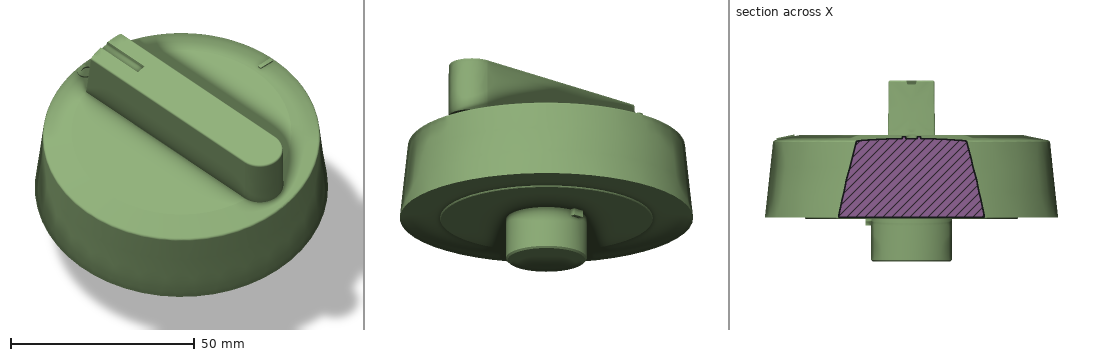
import cadquery as cq

TOTAL_HEIGHT = 49.4

SKIRT_BOTTOM_RADIUS = 40.0
SKIRT_TOP_RADIUS = 37.8
SKIRT_BOTTOM_Z = 12.0
RIM_FILLET = 0.6

FACE_Z = 34.6
FACE_RADIUS = 30.0
FACE_CONE_DROP = 1.6

SHAFT_RADIUS = 11.0
SHAFT_CHAMFER = 0.5

LIP_RADIUS = 29.0
LIP_HEIGHT = 0.4
LIP_CHAMFER = 0.2

KEY_REACH = 1.4
KEY_WIDTH = 3.2
KEY_BOTTOM_Z = 9.8

GRIP_WIDTH = 12.8
GRIP_END_X = 35.1
GRIP_STRAIGHT_END_X = 29.0
GRIP_DRAFT = 0.6
GRIP_TOP_BACK_RADIUS = 28.4
GRIP_FILLET = 0.5

SLOT_END_X = -14.7
SLOT_WIDTH = 2.8
SLOT_FLOOR_FILLET = 0.5
SLOT_DRAFT = 12.0
SLOT_DEPTH = 1.1

MARK_HEIGHT = 0.5
RING_CENTRE_X = -34.6
RING_OUTER_RADIUS = 2.6
RING_INNER_RADIUS = 1.4
TICK_INNER_Y = 31.8
TICK_OUTER_Y = 36.8
TICK_INNER_WIDTH = 1.0
TICK_OUTER_WIDTH = 1.2

RIM_Z = FACE_Z - FACE_CONE_DROP
GRIP_HEIGHT = TOTAL_HEIGHT - FACE_Z
LIP_BOTTOM_Z = SKIRT_BOTTOM_Z - LIP_HEIGHT


def revolve_about_z(profile):
    """Solid of revolution about Z from (radius, height) points."""
    return cq.Workplane("XZ").polyline(profile).close().revolve(360, (0, 0), (0, 1))


def make_body():
    """Tapered skirt with a flat face, a conical margin and a rounded rim."""
    profile = [
        (0, SKIRT_BOTTOM_Z),
        (SKIRT_BOTTOM_RADIUS, SKIRT_BOTTOM_Z),
        (SKIRT_TOP_RADIUS, RIM_Z),
        (FACE_RADIUS, FACE_Z),
        (0, FACE_Z),
    ]
    rim = cq.selectors.RadiusNthSelector(1)
    return revolve_about_z(profile).edges("%CIRCLE").edges(rim).fillet(RIM_FILLET)


def make_underside():
    """Shaft, its small key and the shallow lip under the skirt."""
    shaft = cq.Workplane("XY").circle(SHAFT_RADIUS).extrude(SKIRT_BOTTOM_Z)
    shaft = shaft.faces("<Z").chamfer(SHAFT_CHAMFER)
    lip = cq.Workplane("XY", origin=(0, 0, LIP_BOTTOM_Z)).circle(LIP_RADIUS).extrude(LIP_HEIGHT)
    lip = lip.faces("<Z").chamfer(LIP_CHAMFER)
    key = cq.Workplane("XY", origin=(0, 0, KEY_BOTTOM_Z)).box(
        KEY_WIDTH,
        SHAFT_RADIUS + KEY_REACH,
        SKIRT_BOTTOM_Z - KEY_BOTTOM_Z,
        centered=(True, False, False),
    )
    return shaft.union(lip).union(key)


def make_grip():
    """Upright finger grip, rounded at +X and cut by a cone at -X."""
    half_width = GRIP_WIDTH / 2
    bar = (
        cq.Workplane("XY", origin=(0, 0, FACE_Z))
        .moveTo(-SKIRT_BOTTOM_RADIUS, -half_width)
        .lineTo(GRIP_STRAIGHT_END_X, -half_width)
        .threePointArc((GRIP_END_X, 0), (GRIP_STRAIGHT_END_X, half_width))
        .lineTo(-SKIRT_BOTTOM_RADIUS, half_width)
        .close()
        .extrude(GRIP_HEIGHT, taper=GRIP_DRAFT)
    )
    cone = revolve_about_z([
        (0, FACE_Z),
        (FACE_RADIUS, FACE_Z),
        (GRIP_TOP_BACK_RADIUS, TOTAL_HEIGHT),
        (0, TOTAL_HEIGHT),
    ])
    front_block = cq.Workplane("XY", origin=(0, 0, FACE_Z)).box(
        SKIRT_BOTTOM_RADIUS, 2 * GRIP_WIDTH, GRIP_HEIGHT, centered=(False, True, False)
    )
    grip = bar.intersect(cone.union(front_block))

    corner_zone = cq.selectors.BoxSelector(
        (-FACE_RADIUS, -GRIP_WIDTH, FACE_Z + GRIP_HEIGHT / 4),
        (-FACE_RADIUS / 2, GRIP_WIDTH, TOTAL_HEIGHT - GRIP_HEIGHT / 4),
    )
    grip = grip.edges(corner_zone).fillet(GRIP_FILLET)
    return grip.faces(">Z").edges().fillet(GRIP_FILLET)


def make_slot():
    """Pointer slot with a rounded foot to its walls, open at the blunt end."""
    length = SKIRT_BOTTOM_RADIUS + SLOT_END_X
    return (
        cq.Workplane("XY", origin=(SLOT_END_X - length / 2, 0, TOTAL_HEIGHT))
        .rect(length, SLOT_WIDTH)
        .extrude(-SLOT_DEPTH, taper=SLOT_DRAFT)
        .faces("<Z")
        .edges()
        .fillet(SLOT_FLOOR_FILLET)
    )


def make_marks():
    """Ring and tick standing proud of the conical margin by an even height."""
    base = cq.Plane(origin=(0, 0, RIM_Z - MARK_HEIGHT))
    ring = cq.Workplane(base).center(RING_CENTRE_X, 0).circle(RING_OUTER_RADIUS).circle(RING_INNER_RADIUS)
    tick = cq.Workplane(base).polyline([
        (-TICK_INNER_WIDTH / 2, TICK_INNER_Y),
        (TICK_INNER_WIDTH / 2, TICK_INNER_Y),
        (TICK_OUTER_WIDTH / 2, TICK_OUTER_Y),
        (-TICK_OUTER_WIDTH / 2, TICK_OUTER_Y),
    ]).close()
    reach = FACE_CONE_DROP + 2 * MARK_HEIGHT
    marks = ring.extrude(reach).union(tick.extrude(reach))
    raised_margin = revolve_about_z([
        (0, SKIRT_BOTTOM_Z),
        (SKIRT_TOP_RADIUS, SKIRT_BOTTOM_Z),
        (SKIRT_TOP_RADIUS, RIM_Z + MARK_HEIGHT),
        (FACE_RADIUS, FACE_Z + MARK_HEIGHT),
        (0, FACE_Z + MARK_HEIGHT),
    ])
    return marks.intersect(raised_margin)


grip = make_grip().cut(make_slot())
result = make_body().union(make_underside()).union(make_marks()).union(grip)